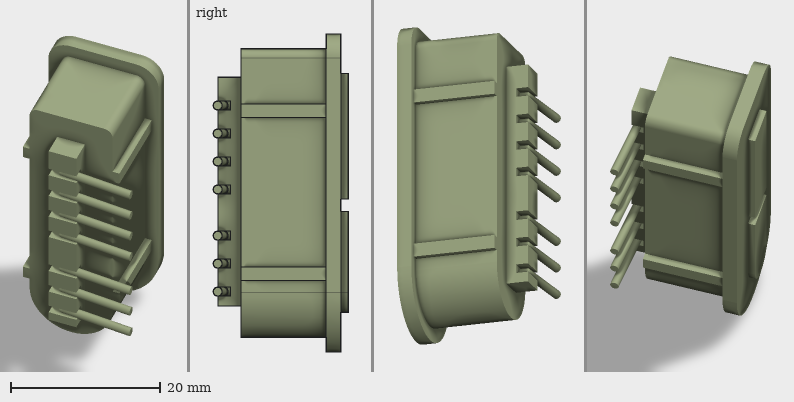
import cadquery as cq
import math

flange_width = 15.95
flange_height = 42.65
flange_thickness = 2.0
flange_corner_radius = 3.25

flange_rim = 1.95
body_depth = 11.45
body_width = flange_width - 2 * flange_rim

rib_height = 1.85
rib_projection = 1.0
rib_top_drops = [9.4, 31.2]

block_width = 4.0
block_height = 30.7
block_depth = 3.05
block_top_drop = 5.8

pin_diameter = 1.2
pin_pitch = 3.75
first_pin_drop = 9.6
pin_group_gap = 6.2
upper_pin_count = 4
lower_pin_count = 3
slot_depth = 1.7
bend_depth = 0.8
pin_tilt = 5.0
pin_reach = 9.95
pin_tip_length = 0.35
pin_embed = 0.43

pad_width = 5.35
pad_thickness = 1.0
upper_pad_drop = 5.3
upper_pad_height = 16.85
lower_pad_drop = 23.8

top_z = flange_height - flange_width / 2
body_front_y = -body_depth
block_front_y = body_front_y - block_depth
slot_floor_y = block_front_y + slot_depth


def box_between(width, y_front, y_back, z_top, height):
    """Box centred on X, spanning the given Y range and hanging down from z_top."""
    box = cq.Workplane("XY").box(width, y_back - y_front, height, centered=(True, False, False))
    return box.translate((0, y_front, z_top - height))


def round_bottomed_plate(width, z_top, y_front, y_back):
    """Plate with a flat top and a full-radius lower end centred on the Y axis."""
    half = width / 2
    outline = (
        cq.Workplane("XZ", origin=(0, y_back, 0))
        .moveTo(half, 0)
        .lineTo(half, z_top)
        .lineTo(-half, z_top)
        .lineTo(-half, 0)
        .threePointArc((0, -half), (half, 0))
        .close()
    )
    return outline.extrude(y_back - y_front)


def round_top_corners(plate, radius):
    return plate.faces(">Z").edges("|Y").fillet(radius)


def make_pin(pin_z):
    """Round wire: a stub out of the slot floor, a mitred bend, a leaning arm and a straight tip."""
    arm_reach = pin_reach - pin_tip_length
    stub_start_y = slot_floor_y + pin_embed
    bend_y = block_front_y + bend_depth
    tip_y = bend_y - arm_reach * math.tan(math.radians(pin_tilt))
    path = cq.Workplane("XY", origin=(0, 0, pin_z)).polyline(
        [(0, stub_start_y), (0, bend_y), (arm_reach, tip_y), (pin_reach, tip_y)]
    )
    section = cq.Workplane("XZ", origin=(0, stub_start_y, pin_z)).circle(pin_diameter / 2)
    return section.sweep(path, transition="right")


flange = round_bottomed_plate(flange_width, top_z, 0, flange_thickness)
flange = round_top_corners(flange, flange_corner_radius)
body = round_bottomed_plate(body_width, top_z - flange_rim, body_front_y, 0)
body = round_top_corners(body, flange_corner_radius - flange_rim)
result = flange.union(body)

for drop in rib_top_drops:
    rib_span = body_width + 2 * rib_projection
    result = result.union(box_between(rib_span, body_front_y, 0, top_z - drop, rib_height))

pad_back_y = flange_thickness + pad_thickness
upper_pad = box_between(pad_width, flange_thickness, pad_back_y, top_z - upper_pad_drop, upper_pad_height)
lower_pad = round_bottomed_plate(pad_width, top_z - lower_pad_drop, flange_thickness, pad_back_y)
result = result.union(upper_pad).union(lower_pad)

block = box_between(block_width, block_front_y, body_front_y, top_z - block_top_drop, block_height)
result = result.union(block)

upper_start_z = top_z - first_pin_drop
lower_start_z = upper_start_z - (upper_pin_count - 1) * pin_pitch - pin_group_gap
pin_levels = [upper_start_z - i * pin_pitch for i in range(upper_pin_count)]
pin_levels += [lower_start_z - i * pin_pitch for i in range(lower_pin_count)]
for pin_z in pin_levels:
    slot_top_z = pin_z + pin_diameter / 2
    result = result.cut(box_between(block_width, block_front_y, slot_floor_y, slot_top_z, pin_diameter))
    result = result.union(make_pin(pin_z))